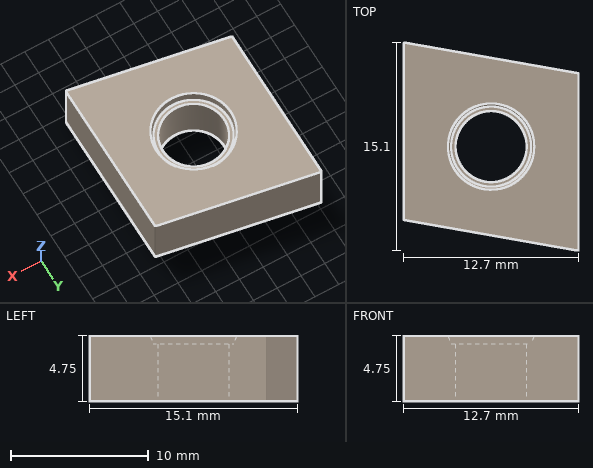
import cadquery as cq
import math

width = 12.7
thickness = 4.75
side_slope = 10.0
corner_radius = 0.09

bore_diameter = 5.15
recess_floor_diameter = 5.81
recess_diameter = 6.27
recess_depth = 0.6


def rhombic_plate():
    """Equal-sided plate with rounded vertical edges, centred on the Z axis."""
    side_length = width / math.cos(math.radians(side_slope))
    slope_drop = width * math.tan(math.radians(side_slope))
    left = -width / 2
    right = width / 2
    left_top = (side_length + slope_drop) / 2
    right_top = left_top - slope_drop
    return (
        cq.Workplane("XY")
        .polyline([(left, left_top), (right, right_top), (right, -left_top), (left, -right_top)])
        .close()
        .extrude(thickness)
        .edges("|Z")
        .fillet(corner_radius)
    )


def stepped_hole():
    """Through bore that opens through a flat-floored tapered recess in the top face."""
    recess_floor = thickness - recess_depth
    return (
        cq.Workplane("XZ")
        .moveTo(0, 0)
        .lineTo(bore_diameter / 2, 0)
        .lineTo(bore_diameter / 2, recess_floor)
        .lineTo(recess_floor_diameter / 2, recess_floor)
        .lineTo(recess_diameter / 2, thickness)
        .lineTo(0, thickness)
        .close()
        .revolve(360, (0, 0, 0), (0, 1, 0))
    )


result = rhombic_plate().cut(stepped_hole())